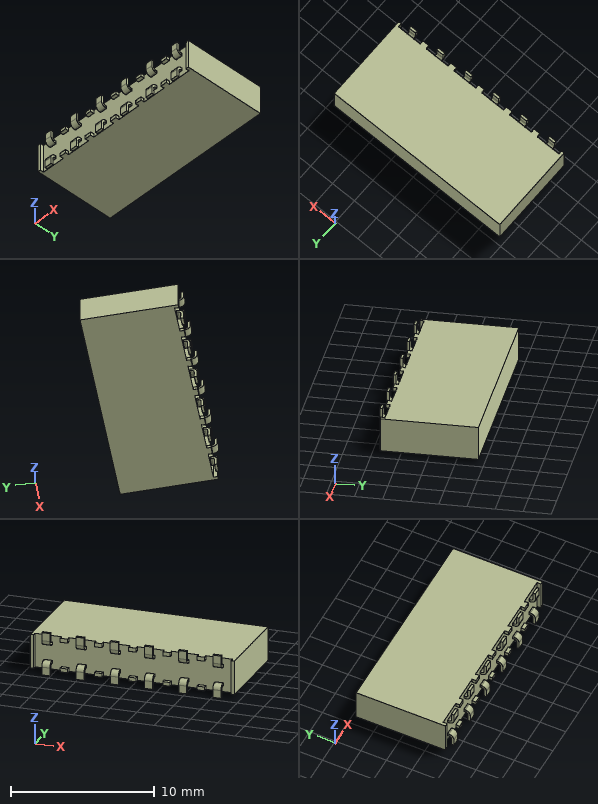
import cadquery as cq

housing_width = 15.16
housing_depth = 7.0
housing_height = 2.54
recess_depth = 0.3
end_wall = 0.25

pitch = 2.54
columns = 6
pin_width = 0.6
pin_thickness = 0.2
row_span = 3.19
leg_length = 0.6
bend_outer_radius = 0.4
bend_inner_radius = bend_outer_radius - pin_thickness

block_width = 0.55
block_height = 0.3

pin_front = -(housing_depth + pin_thickness) / 2
rim_front = pin_front + pin_thickness
recess_face = rim_front + recess_depth

pin_positions = [(i - (columns - 1) / 2) * pitch for i in range(columns)]
block_positions = [x + pitch / 2 for x in pin_positions[:-1]]


def make_housing():
    """Block with a front recess open at the top and bottom."""
    block = cq.Workplane("XY").box(housing_width, housing_depth, housing_height)
    block = block.translate((0, rim_front + housing_depth / 2, 0))
    recess = cq.Workplane("XY").box(housing_width - 2 * end_wall, recess_depth, housing_height)
    return block.cut(recess.translate((0, rim_front + recess_depth / 2, 0)))


def make_block(x):
    """Standoff block on the terminal face, flush with the upper housing face."""
    block = cq.Workplane("XY").box(block_width, recess_depth, block_height)
    z = (housing_height - block_height) / 2
    return block.translate((x, rim_front + recess_depth / 2, z))


def make_pin(x):
    """Terminal of the upper row: leaves the face along -Y, then bends up into a leg."""
    tip = row_span / 2
    bend_y = pin_front + bend_outer_radius
    bend_z = tip - leg_length
    diagonal = 0.5 ** 0.5
    outer_mid = (bend_y - bend_outer_radius * diagonal, bend_z - bend_outer_radius * diagonal)
    inner_mid = (bend_y - bend_inner_radius * diagonal, bend_z - bend_inner_radius * diagonal)
    profile = (
        cq.Workplane("YZ")
        .moveTo(pin_front, tip)
        .lineTo(pin_front, bend_z)
        .threePointArc(outer_mid, (bend_y, bend_z - bend_outer_radius))
        .lineTo(recess_face, bend_z - bend_outer_radius)
        .lineTo(recess_face, bend_z - bend_inner_radius)
        .lineTo(bend_y, bend_z - bend_inner_radius)
        .threePointArc(inner_mid, (bend_y - bend_inner_radius, bend_z))
        .lineTo(bend_y - bend_inner_radius, tip)
        .close()
    )
    return profile.extrude(pin_width / 2, both=True).translate((x, 0, 0))


result = make_housing()
upper_details = [make_block(x) for x in block_positions] + [make_pin(x) for x in pin_positions]
for detail in upper_details:
    result = result.union(detail).union(detail.mirror("XY"))